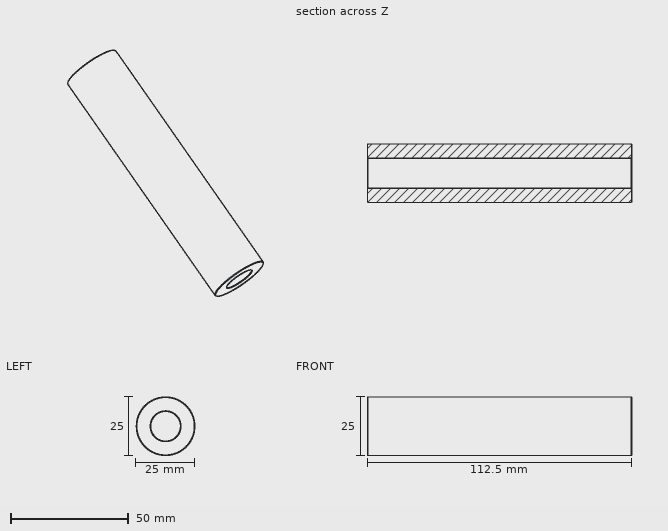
import cadquery as cq

length = 112.5
outer_diameter = 25.0
bore_diameter = 12.6
edge_chamfer = 0.3


def sleeve():
    """Tube centred on the X axis, with a bore running right through."""
    rings = cq.Workplane("YZ", origin=(-length / 2, 0, 0))
    rings = rings.circle(outer_diameter / 2).circle(bore_diameter / 2)
    return rings.extrude(length)


def chamfer_ends(tube):
    """Break the outer and bore edges of both end faces."""
    return tube.faces("<X or >X").edges().chamfer(edge_chamfer)


result = chamfer_ends(sleeve())